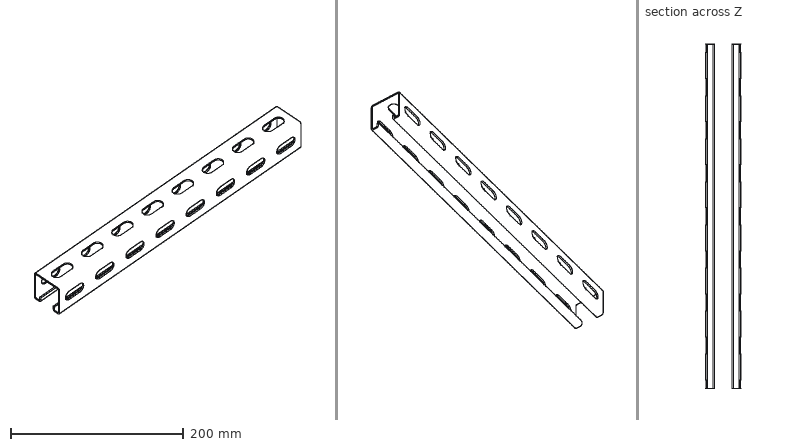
import cadquery as cq

SHEET = 2.0
BEND_INNER_RADIUS = SHEET / 2
BEND_OUTER_RADIUS = BEND_INNER_RADIUS + SHEET

MOUTH_WIDTH = 20.0
LIP_STRAIGHT = 4.0
LIP_HEIGHT = BEND_OUTER_RADIUS + LIP_STRAIGHT

LENGTH = 400.0
CLEAR_DEPTH = 32.0
HEIGHT = LIP_HEIGHT + CLEAR_DEPTH + SHEET
WIDTH = HEIGHT

SLOT_COUNT = 8
SLOT_PITCH = LENGTH / SLOT_COUNT
SLOT_LENGTH = 30.0
SLOT_EDGE_MARGIN = 14.0
SLOT_WIDTH = WIDTH - 2 * SLOT_EDGE_MARGIN


def bar(width, height, corner_radius):
    """Full-length bar along Y with its long edges rounded, centred on the origin."""
    block = cq.Workplane("XY").box(width, LENGTH, height)
    return block.edges("|Y").fillet(corner_radius)


def open_tube():
    """Square tube with the flat stretch of its bottom wall removed."""
    tube = bar(WIDTH, HEIGHT, BEND_OUTER_RADIUS)
    tube = tube.cut(bar(WIDTH - 2 * SHEET, HEIGHT - 2 * SHEET, BEND_INNER_RADIUS))

    flat_width = WIDTH - 2 * BEND_OUTER_RADIUS
    flat_bottom = cq.Workplane("XY").box(flat_width, LENGTH, 2 * SHEET)
    return tube.cut(flat_bottom.translate((0, 0, -HEIGHT / 2)))


def right_flange():
    """Bottom flange on the +X side, bent up at the mouth into a lip."""
    bottom = -HEIGHT / 2
    bend_top = bottom + BEND_OUTER_RADIUS
    lip_top = bottom + LIP_HEIGHT
    wall_bend_x = WIDTH / 2 - BEND_OUTER_RADIUS
    mouth_x = MOUTH_WIDTH / 2
    lip_bend_x = mouth_x + BEND_OUTER_RADIUS
    section = (
        cq.Workplane("XZ")
        .moveTo(wall_bend_x, bottom)
        .lineTo(lip_bend_x, bottom)
        .radiusArc((mouth_x, bend_top), BEND_OUTER_RADIUS)
        .lineTo(mouth_x, lip_top)
        .lineTo(mouth_x + SHEET, lip_top)
        .lineTo(mouth_x + SHEET, bend_top)
        .radiusArc((lip_bend_x, bottom + SHEET), -BEND_INNER_RADIUS)
        .lineTo(wall_bend_x, bottom + SHEET)
        .close()
    )
    return section.extrude(LENGTH / 2, both=True)


def slot_row(plane, columns, rows, angle):
    """Slot outlines in a row along Y, centred on the channel."""
    grid = cq.Workplane(plane).rarray(SLOT_PITCH, SLOT_PITCH, columns, rows)
    return grid.slot2D(SLOT_LENGTH, SLOT_WIDTH, angle)


flange = right_flange()
channel = open_tube().union(flange).union(flange.mirror("YZ"))

web_slots = slot_row("XY", 1, SLOT_COUNT, 90).extrude(HEIGHT)
wall_slots = slot_row("YZ", SLOT_COUNT, 1, 0).extrude(WIDTH, both=True)

result = channel.cut(web_slots).cut(wall_slots)